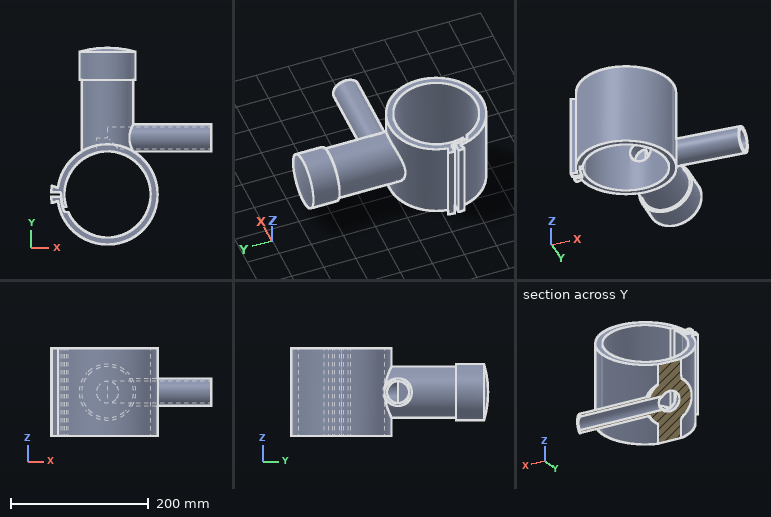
import cadquery as cq
import math

RING_HEIGHT = 128.0
RING_OUTER_R = 73.0
RING_INNER_R = 62.5

LUG_TIP_R = 82.05
LUG_TIP_Y = 12.8
LUG_ROOT_X = -71.0
LUG_ROOT_Y = 9.4
SLIT_HALF_WIDTH = 3.0
SLIT_CORNER_R = 2.0

TONGUE_OUTER_R = 67.3
TONGUE_END_Y = -18.5
RECESS_OUTER_R = 67.8
RECESS_END_Y = -25.2
RECESS_CORNER_R = 3.0

BRANCH_R = 37.5
CAP_R = 41.0
CAP_START_Y = 166.4
CAP_TOP_Y = 213.34
DOME_RISE = 6.0
CAP_EDGE_Y = CAP_TOP_Y - DOME_RISE

PIPE_R = 20.0
PIPE_AXIS_Y = 82.25
PIPE_END_X = 150.94
BORE_R = 16.0


def left_x(radius, y):
    """X of the point at height y on the -X side of a circle about the origin."""
    return -math.sqrt(radius**2 - y**2)


def ring_base():
    """Workplane on the lower face of the ring."""
    return cq.Workplane("XY", origin=(0, 0, -RING_HEIGHT / 2))


def disc(radius):
    """Cylinder about Z, as tall as the ring."""
    return ring_base().circle(radius).extrude(RING_HEIGHT)


def prism(outline):
    """Closed XY outline extruded over the ring height."""
    return outline.close().extrude(RING_HEIGHT)


def make_lug():
    """Flared lug on the +Y side of the slit, its tip curved about the ring axis."""
    return prism(
        ring_base()
        .moveTo(left_x(LUG_TIP_R, SLIT_HALF_WIDTH), SLIT_HALF_WIDTH)
        .radiusArc((left_x(LUG_TIP_R, LUG_TIP_Y), LUG_TIP_Y), LUG_TIP_R)
        .lineTo(LUG_ROOT_X, LUG_ROOT_Y)
        .lineTo(LUG_ROOT_X, SLIT_HALF_WIDTH)
    )


def make_slit():
    """Gap between the lugs, ending against the outside of the tongue."""
    slit_end_x = -RECESS_OUTER_R
    return prism(
        ring_base()
        .moveTo(-LUG_TIP_R, -SLIT_HALF_WIDTH)
        .lineTo(slit_end_x, -SLIT_HALF_WIDTH)
        .lineTo(slit_end_x, SLIT_HALF_WIDTH - SLIT_CORNER_R)
        .radiusArc((slit_end_x - SLIT_CORNER_R, SLIT_HALF_WIDTH), -SLIT_CORNER_R)
        .lineTo(-LUG_TIP_R, SLIT_HALF_WIDTH)
    )


def make_recess():
    """Inner part of the wall removed below the slit, with a rounded outer corner."""
    corner_y = RECESS_END_Y + RECESS_CORNER_R
    corner_r = RECESS_OUTER_R - RECESS_CORNER_R
    corner_x = left_x(corner_r, corner_y)
    tangent_scale = RECESS_OUTER_R / corner_r
    tangent_point = (corner_x * tangent_scale, corner_y * tangent_scale)
    inside_x = left_x(RING_INNER_R, RECESS_END_Y) + RING_OUTER_R - RING_INNER_R
    return prism(
        ring_base()
        .moveTo(-RECESS_OUTER_R, 0)
        .radiusArc(tangent_point, -RECESS_OUTER_R)
        .radiusArc((corner_x, RECESS_END_Y), -RECESS_CORNER_R)
        .lineTo(inside_x, RECESS_END_Y)
        .lineTo(inside_x, 0)
    )


def make_tongue():
    """Thin continuation of the upper wall, lying inside the recess."""
    return prism(
        ring_base()
        .moveTo(-TONGUE_OUTER_R, 0)
        .radiusArc((left_x(TONGUE_OUTER_R, TONGUE_END_Y), TONGUE_END_Y), -TONGUE_OUTER_R)
        .lineTo(left_x(RING_INNER_R, TONGUE_END_Y), TONGUE_END_Y)
        .radiusArc((-RING_INNER_R, 0), RING_INNER_R)
    )


def make_branch():
    """Branch and domed cap, revolved about the Y axis."""
    dome_r = (CAP_R**2 + DOME_RISE**2) / (2 * DOME_RISE)
    return (
        cq.Workplane("XY")
        .lineTo(-BRANCH_R, 0)
        .lineTo(-BRANCH_R, CAP_START_Y)
        .lineTo(-CAP_R, CAP_START_Y)
        .lineTo(-CAP_R, CAP_EDGE_Y)
        .radiusArc((0, CAP_TOP_Y), dome_r)
        .close()
        .revolve(360, (0, 0), (0, 1))
    )


def rod_along_x(radius):
    """Cylinder on the side pipe axis, from the branch axis to the pipe end."""
    return cq.Workplane("YZ").center(PIPE_AXIS_Y, 0).circle(radius).extrude(PIPE_END_X)


def make_ring_port():
    """Bore along Y from the ring centre to the side pipe axis."""
    return cq.Workplane("XZ").circle(BORE_R).extrude(-PIPE_AXIS_Y)


upper_lug = make_lug()
lower_lug = upper_lug.mirror("XZ")

result = (
    disc(RING_OUTER_R)
    .union(upper_lug)
    .union(lower_lug)
    .union(make_branch())
    .union(rod_along_x(PIPE_R))
    .cut(disc(RING_INNER_R))
    .cut(make_slit())
    .cut(make_recess())
    .union(make_tongue())
    .cut(make_ring_port())
    .cut(rod_along_x(BORE_R))
    .clean()
)